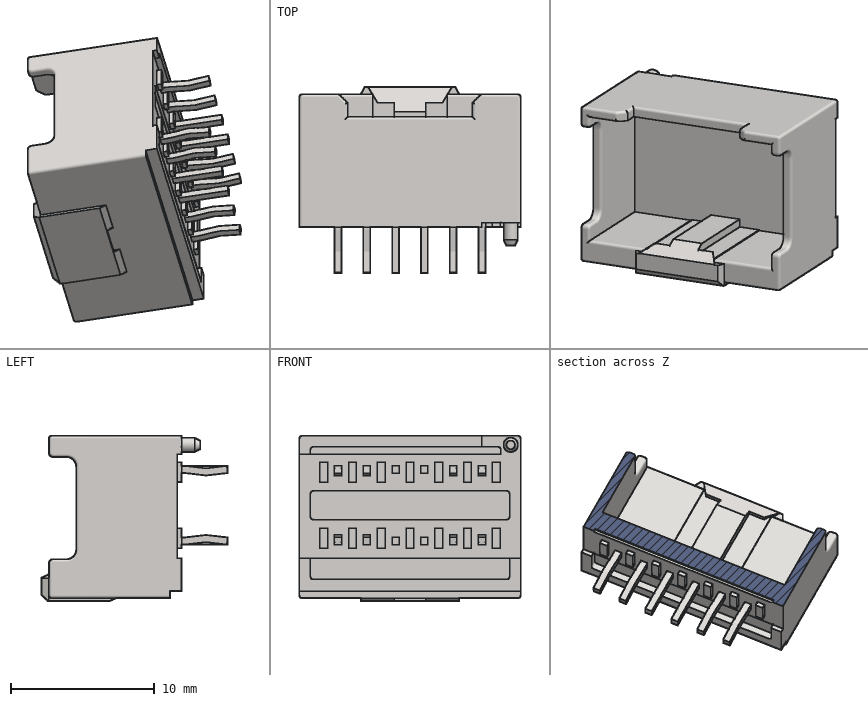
import cadquery as cq


width = 15.4
depth = 9.23
height = 11.3
edge_radius = 0.2
side_wall = 0.7
cavity_floor_z = 1.6
cavity_front_y = 2.0

side_opening_bottom = 2.72
side_opening_top = 9.81
side_opening_depth = 1.89
side_opening_radius = 0.65
arm_corner_radius = 0.3
top_opening_half = 4.34
top_opening_depth = 1.58
flare_depth = 0.6

step = 0.3
top_bar_bottom = height - 1.3
bottom_bar_top = 2.78
key_left_x = 5.0
heel_depth = 0.8
heel_height = 0.5

pocket_floor_y = 0.5
pocket_half = 6.92
pocket_radius = 0.2
top_pocket_right = 6.31
top_pocket_top = height - 0.78
middle_pocket_bottom = 5.47
middle_pocket_top = 7.46
bottom_pocket_bottom = 1.31

row_middle_z = 6.465
pin_row_spacing = 4.96
rib_row_spacing = 4.6
pitch = 2.0
pins_per_row = 6
ribs_per_row = 7
pin_size = 0.5
pin_length = 3.2
pin_shoulder_y = -0.22
pin_bend_y = -1.7
pin_bend = 0.17
rib_width = 0.55
rib_height = 1.4

peg_x = 7.0
peg_z = 10.66
peg_radius = 0.5
peg_length = 1.3
peg_tip_length = 0.4
peg_tip_inset = 0.2

latch_half_width = 3.42
latch_end_half_width = 3.15
latch_end_y = 9.75
latch_bottom_z = -0.2
latch_front_y = 5.0
latch_lead_in = 0.45
latch_nose_bottom_z = 0.23
latch_nose_bottom_y = 9.3
plate_half_width = 2.6
plate_top_z = 1.65
rib_half_width = 1.1
ramp_half_width = 2.25
ramp_end_half_width = 2.93
ramp_side_y = 8.63
ramp_top_y = 8.01
ramp_end_z = 1.43
ramp_slope = 0.45


def block(x0, x1, y0, y1, z0, z1):
    """Box between two corners."""
    return cq.Workplane("XY").box(x1 - x0, y1 - y0, z1 - z0, centered=False).translate((x0, y0, z0))


def mirrored_outline(right_points):
    """Closed outline made of points on the +X side and their mirror images."""
    left_points = [(-x, y) for x, y in reversed(right_points)]
    return right_points + left_points


def row_positions(count):
    """X positions of `count` evenly pitched items centred on the part."""
    return [(i - (count - 1) / 2) * pitch for i in range(count)]


def top_opening():
    wall_y = depth - top_opening_depth
    flare_y = depth - flare_depth
    outline = mirrored_outline([
        (top_opening_half, wall_y),
        (top_opening_half, flare_y),
        (top_opening_half + flare_depth, depth),
    ])
    return cq.Workplane("XY").workplane(offset=height / 2).polyline(outline).close().extrude(height)


def side_opening():
    wall_y = depth - side_opening_depth
    opening = block(-width, width, wall_y, 2 * depth, side_opening_bottom, side_opening_top)
    return opening.edges("|X and <Y").fillet(side_opening_radius)


def is_outer_edge(edge):
    """True for edges on the outer walls or the mating rim, but not on the mounting face."""
    box = edge.BoundingBox()
    tolerance = 0.001

    def lies_at(low, high, value):
        return abs(low - value) < tolerance and abs(high - value) < tolerance

    if lies_at(box.ymin, box.ymax, 0):
        return False
    return (
        lies_at(box.xmin, box.xmax, -width / 2)
        or lies_at(box.xmin, box.xmax, width / 2)
        or lies_at(box.zmin, box.zmax, 0)
        or lies_at(box.zmin, box.zmax, height)
        or lies_at(box.ymin, box.ymax, depth)
    )


def shell():
    """Box hollowed from the mating end, with its wall openings and rounded outer edges."""
    inner_half = width / 2 - side_wall
    body = block(-width / 2, width / 2, 0, depth, 0, height)
    body = body.cut(
        block(-inner_half, inner_half, cavity_front_y, depth, cavity_floor_z, height - side_wall)
    )
    body = body.cut(side_opening())
    for opening_edge_z in (side_opening_bottom, side_opening_top):
        arm_corners = cq.selectors.BoxSelector(
            (-width, depth - edge_radius, opening_edge_z - edge_radius),
            (width, depth + edge_radius, opening_edge_z + edge_radius),
        )
        body = body.edges("|X").edges(arm_corners).fillet(arm_corner_radius)
    body = body.cut(top_opening())
    rounded_edges = [edge for edge in body.edges().vals() if is_outer_edge(edge)]
    return body.newObject(rounded_edges).fillet(edge_radius)


def pocket(x0, x1, z0, z1, rounded):
    return block(x0, x1, 0, pocket_floor_y, z0, z1).edges(rounded).fillet(pocket_radius)


def cut_mounting_face(body):
    """Recess between the two raised bars, the key corner, the heel step and three pockets."""
    half = width / 2
    body = body.cut(block(-half, half, 0, step, bottom_bar_top, top_bar_bottom))
    body = body.cut(block(key_left_x, half, 0, step, bottom_bar_top, height))
    body = body.cut(block(-half, half, 0, heel_depth, 0, heel_height))
    body = body.cut(pocket(-pocket_half, top_pocket_right, top_bar_bottom, top_pocket_top, "|Y and >Z"))
    body = body.cut(pocket(-pocket_half, pocket_half, middle_pocket_bottom, middle_pocket_top, "|Y"))
    return body.cut(pocket(-pocket_half, pocket_half, bottom_pocket_bottom, bottom_bar_top, "|Y and <Z"))


def rib(x, z):
    half = rib_width / 2
    return block(x - half, x + half, 0, step, z - rib_height / 2, z + rib_height / 2)


def pin(x, z, bend):
    """Square pin; its middle is pushed along Z by `bend` and its tip is square to the last leg."""
    half = pin_size / 2
    tip_y = -pin_length
    lean = pin_size * bend / (pin_bend_y - tip_y)
    lower_tip_y = tip_y + max(lean, 0)
    upper_tip_y = tip_y + max(-lean, 0)
    outline = [
        (step, z - half),
        (pin_shoulder_y, z - half),
        (pin_bend_y, z - half + bend),
        (lower_tip_y, z - half),
        (upper_tip_y, z + half),
        (pin_bend_y, z + half + bend),
        (pin_shoulder_y, z + half),
        (step, z + half),
    ]
    return cq.Workplane("YZ").polyline(outline).close().extrude(half, both=True).translate((x, 0, 0))


def peg():
    straight_y = -(peg_length - peg_tip_length)
    outline = [
        (0, step),
        (peg_radius, step),
        (peg_radius, straight_y),
        (peg_radius - peg_tip_inset, -peg_length),
        (0, -peg_length),
    ]
    turned = cq.Workplane("XY").polyline(outline).close().revolve(360, (0, 0), (0, 1))
    return turned.translate((peg_x, 0, peg_z))


def ramp_height(y):
    return ramp_end_z + (latch_end_y - y) * ramp_slope


def latch_profile(top):
    """Side outline of the nose, bevelled at the bottom, completed by the given top points."""
    return [
        (depth - side_wall, latch_bottom_z),
        (latch_nose_bottom_y, latch_bottom_z),
        (latch_end_y, latch_nose_bottom_z),
    ] + top


def extrude_and_trim(side, plan):
    """Solid whose side outline is `side` and whose outline seen along Z is `plan`."""
    solid = cq.Workplane("YZ").polyline(side).close().extrude(latch_half_width, both=True)
    return solid.intersect(cq.Workplane("XY").polyline(plan).close().extrude(height, both=True))


def latch_nose():
    """Hook behind the rim, with tapered ends and its top level with the start of the rim rounding."""
    top_z = cavity_floor_z - edge_radius
    side = latch_profile([(latch_end_y, top_z), (depth - side_wall, top_z)])
    plan = mirrored_outline([
        (latch_half_width, depth - side_wall),
        (latch_half_width, depth),
        (latch_end_half_width, latch_end_y),
    ])
    return extrude_and_trim(side, plan)


def latch_runner():
    """Shallow strip under the bottom wall, bevelled at the front beside a square middle."""
    bevel_y = latch_front_y - latch_lead_in
    side = [
        (bevel_y, 0),
        (latch_front_y, latch_bottom_z),
        (depth, latch_bottom_z),
        (depth, edge_radius),
        (bevel_y, edge_radius),
    ]
    runner = cq.Workplane("YZ").polyline(side).close().extrude(latch_half_width, both=True)
    return runner.cut(block(-rib_half_width, rib_half_width, bevel_y, latch_front_y, latch_bottom_z, 0))


def latch_ramp():
    """Plate on the cavity floor carrying the stepped ramp that falls towards the nose."""
    plate = block(
        -plate_half_width, plate_half_width, cavity_front_y, depth, cavity_floor_z, plate_top_z
    )
    top_z = ramp_height(ramp_top_y)
    side = latch_profile([
        (latch_end_y, ramp_end_z),
        (ramp_top_y, top_z),
        (cavity_front_y, top_z),
        (cavity_front_y, cavity_floor_z),
        (depth - side_wall, cavity_floor_z),
    ])
    plan = mirrored_outline([
        (rib_half_width, cavity_front_y),
        (rib_half_width, ramp_side_y),
        (ramp_half_width, ramp_side_y),
        (ramp_end_half_width, latch_end_y),
    ])
    return plate.union(extrude_and_trim(side, plan))


def build():
    part = cut_mounting_face(shell())
    for direction in (1, -1):
        rib_z = row_middle_z + direction * rib_row_spacing / 2
        pin_z = row_middle_z + direction * pin_row_spacing / 2
        for x in row_positions(ribs_per_row):
            part = part.union(rib(x, rib_z))
        for x in row_positions(pins_per_row):
            is_straight = abs(x) < pitch
            bend = 0 if is_straight else -direction * pin_bend
            part = part.union(pin(x, pin_z, bend))
    part = part.union(peg())
    return part.union(latch_nose()).union(latch_runner()).union(latch_ramp())


result = build()